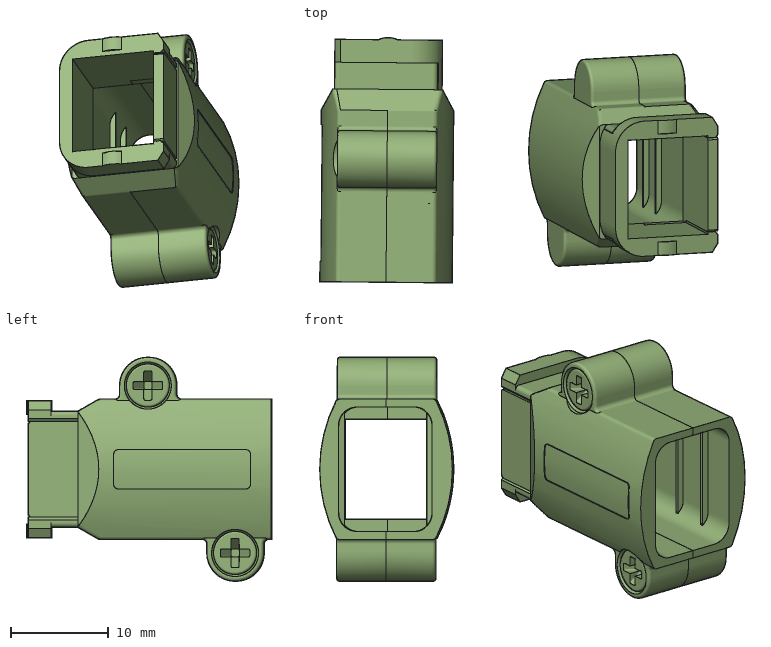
import cadquery as cq
import math


TILT_ANGLE = -0.52

BARREL_END_Y = 17.55
BARREL_HALF_WIDTH = 6.77
BARREL_HALF_HEIGHT = 7.17
FLAT_HALF_WIDTH = 5.0
CORNER_RADIUS = 0.45

COLLAR_END_Y = 19.7
COLLAR_REAR_HALF_WIDTH = 5.6

NECK_LEFT_X = -5.44
NECK_RIGHT_X = 5.08
NECK_HALF_HEIGHT = 5.93
NECK_CORNER_RADIUS = 0.45
FLANGE_START_Y = 22.42
FLANGE_END_Y = 24.77
FLANGE_HALF_HEIGHT = 7.0
FLANGE_RIGHT_X = 5.56
FLANGE_ROUND_RADIUS = 3.05
FLANGE_CHAMFER_X = 0.6
FLANGE_CHAMFER_Z = 0.95
BEAD_HALF_WIDTH = 1.0
BEAD_HEIGHT = 0.22
BEAD_LOW_Z = 5.6

CAVITY_DEPTH = 16.6
CAVITY_CENTRE_X = -0.08
CAVITY_HALF_WIDTH = 4.77
CAVITY_HALF_HEIGHT = 6.35
CAVITY_CORNER_RADIUS = 1.9
NECK_OPENING_HALF_WIDTH = 4.28
NECK_OPENING_HALF_HEIGHT = 5.1
RIB_STARTS_Y = (3.5, 7.6)
RIB_TIP_THICKNESS = 0.32
RIB_RAMP_LENGTH = 0.17
RIB_HEIGHT = 0.57

LABEL_START_Y = 2.08
LABEL_END_Y = 16.03
LABEL_HALF_HEIGHT = 2.0
LABEL_CORNER_RADIUS = 0.45
LABEL_DEPTH = 0.1

TONGUE_HALF_HEIGHT = 4.87
TONGUE_CORNER_CHAMFER = 0.2
SLOT_BEVEL = 0.3
SEAM_FRONT_X = -4.8
SEAM_REAR_X = -5.2

LUG_RADIUS = 2.9
LUG_HALF_LENGTH = 5.07
LUG_AXIS_HEIGHT = 8.54
LUG_ROOT_RADIUS = 0.45
LUG_EDGE_RADIUS = 0.3
LUG_SINK = 0.4
TOP_LUG_Y = 12.56
BOTTOM_LUG_Y = 3.66
LUG_PLACES = ((TOP_LUG_Y, 1), (BOTTOM_LUG_Y, -1))

BORE_MOUTH_DIAMETER = 4.8
HEAD_DIAMETER = 4.4
HEAD_FACE_X = -4.95
BORE_CONE_END_X = -4.75
HEAD_SEAT_X = -3.8
HEAD_EDGE_RADIUS = 0.22
SHANK_DIAMETER = 2.05
SHANK_END_X = 3.0
CROSS_HALF_SPAN = 1.5
CROSS_WIDTH = 0.84
CROSS_CORNER_RADIUS = 0.16
CROSS_DEPTH = 1.6

CUT_MARGIN = 1.0


def box_between(x_range, y_range, z_range):
    """Box given by its low and high limits along X, Y and Z."""
    sizes = [high - low for low, high in (x_range, y_range, z_range)]
    lows = (x_range[0], y_range[0], z_range[0])
    return cq.Workplane("XY").box(*sizes, centered=False).translate(lows)


def along_y(start_y):
    """Workplane at a given y with local axes X and Z; extrude by a negative length toward +Y."""
    return cq.Workplane("XZ", origin=(0, start_y, 0))


def tapered_outline(barrel_half, collar_half):
    """Outline that is straight along the barrel and narrows along the collar."""
    return [
        (-barrel_half, -CUT_MARGIN),
        (barrel_half, -CUT_MARGIN),
        (barrel_half, BARREL_END_Y),
        (collar_half, COLLAR_END_Y),
        (-collar_half, COLLAR_END_Y),
        (-barrel_half, BARREL_END_Y),
    ]


def barrel_and_collar():
    """Solid barrel with bulging sides, tapering to the neck on all four sides."""
    body = (
        along_y(0)
        .moveTo(-FLAT_HALF_WIDTH, BARREL_HALF_HEIGHT)
        .lineTo(FLAT_HALF_WIDTH, BARREL_HALF_HEIGHT)
        .threePointArc((BARREL_HALF_WIDTH, 0), (FLAT_HALF_WIDTH, -BARREL_HALF_HEIGHT))
        .lineTo(-FLAT_HALF_WIDTH, -BARREL_HALF_HEIGHT)
        .threePointArc((-BARREL_HALF_WIDTH, 0), (-FLAT_HALF_WIDTH, BARREL_HALF_HEIGHT))
        .close()
        .extrude(-COLLAR_END_Y)
    )
    width_limit = (
        cq.Workplane("XY", origin=(0, 0, -BARREL_HALF_HEIGHT - CUT_MARGIN))
        .polyline(tapered_outline(BARREL_HALF_WIDTH, COLLAR_REAR_HALF_WIDTH))
        .close()
        .extrude(2 * (BARREL_HALF_HEIGHT + CUT_MARGIN))
    )
    height_limit = (
        cq.Workplane("XY", origin=(0, 0, -BARREL_HALF_WIDTH - CUT_MARGIN))
        .polyline(tapered_outline(BARREL_HALF_HEIGHT, NECK_HALF_HEIGHT))
        .close()
        .extrude(2 * (BARREL_HALF_WIDTH + CUT_MARGIN))
        .rotate((0, 0, 0), (0, 1, 0), 90)
    )
    body = body.intersect(width_limit).intersect(height_limit)
    corner_edges = [
        edge
        for edge in body.edges().vals()
        if abs(edge.Center().z) > NECK_HALF_HEIGHT
        and CUT_MARGIN < edge.Center().y < COLLAR_END_Y - CUT_MARGIN / 2
    ]
    return body.newObject(corner_edges).fillet(CORNER_RADIUS)


def neck_and_flange():
    """Connector neck with a larger flange; chamfered on the -X side, rounded on the +X side."""
    round_centre_x = FLANGE_RIGHT_X - FLANGE_ROUND_RADIUS
    round_centre_z = FLANGE_HALF_HEIGHT - FLANGE_ROUND_RADIUS
    round_middle_x = round_centre_x + FLANGE_ROUND_RADIUS * math.sqrt(0.5)
    round_middle_z = round_centre_z + FLANGE_ROUND_RADIUS * math.sqrt(0.5)
    chamfer_z = FLANGE_HALF_HEIGHT - FLANGE_CHAMFER_Z
    profile = (
        along_y(COLLAR_END_Y)
        .moveTo(NECK_LEFT_X, -chamfer_z)
        .lineTo(NECK_LEFT_X, chamfer_z)
        .lineTo(NECK_LEFT_X + FLANGE_CHAMFER_X, FLANGE_HALF_HEIGHT)
        .lineTo(round_centre_x, FLANGE_HALF_HEIGHT)
        .threePointArc((round_middle_x, round_middle_z), (FLANGE_RIGHT_X, round_centre_z))
        .lineTo(FLANGE_RIGHT_X, -round_centre_z)
        .threePointArc((round_middle_x, -round_middle_z), (round_centre_x, -FLANGE_HALF_HEIGHT))
        .lineTo(NECK_LEFT_X + FLANGE_CHAMFER_X, -FLANGE_HALF_HEIGHT)
        .close()
    )
    flanged_block = profile.extrude(COLLAR_END_Y - FLANGE_END_Y)
    right_end_height = NECK_HALF_HEIGHT - NECK_CORNER_RADIUS
    neck_limit = box_between(
        (NECK_LEFT_X, NECK_RIGHT_X),
        (COLLAR_END_Y, FLANGE_START_Y),
        (-NECK_HALF_HEIGHT, NECK_HALF_HEIGHT),
    )
    neck_core = neck_limit.edges("|Y").fillet(NECK_CORNER_RADIUS)
    neck_right_end = flanged_block.intersect(
        box_between(
            (0, FLANGE_RIGHT_X),
            (COLLAR_END_Y, FLANGE_START_Y),
            (-right_end_height, right_end_height),
        )
    )
    flange = flanged_block.intersect(
        box_between(
            (NECK_LEFT_X, FLANGE_RIGHT_X),
            (FLANGE_START_Y, FLANGE_END_Y),
            (-FLANGE_HALF_HEIGHT, FLANGE_HALF_HEIGHT),
        )
    )
    block = neck_core.union(neck_right_end).union(flange)
    for low_z in (BEAD_LOW_Z, -FLANGE_HALF_HEIGHT):
        block = block.union(rear_bead(low_z))
    return block


def rear_bead(low_z):
    """Low rounded bead on the rear face of the flange, running along Z."""
    return (
        cq.Workplane("XY", origin=(0, 0, low_z))
        .moveTo(-BEAD_HALF_WIDTH, FLANGE_END_Y)
        .threePointArc((0, FLANGE_END_Y + BEAD_HEIGHT), (BEAD_HALF_WIDTH, FLANGE_END_Y))
        .close()
        .extrude(FLANGE_HALF_HEIGHT - BEAD_LOW_Z)
    )


def screw_lug(centre_y, side):
    """Rounded lug across the barrel; side is 1 for the top and -1 for the underside."""
    flat_z = BARREL_HALF_HEIGHT
    sink_z = flat_z - LUG_SINK
    root_half = LUG_RADIUS + LUG_ROOT_RADIUS
    root_top_z = flat_z + LUG_ROOT_RADIUS
    bend = LUG_ROOT_RADIUS * (1 - math.sqrt(0.5))
    lug = (
        cq.Workplane("YZ", origin=(-LUG_HALF_LENGTH, 0, 0))
        .moveTo(-root_half, sink_z)
        .lineTo(-root_half, flat_z)
        .threePointArc((-LUG_RADIUS - bend, flat_z + bend), (-LUG_RADIUS, root_top_z))
        .lineTo(-LUG_RADIUS, LUG_AXIS_HEIGHT)
        .threePointArc((0, LUG_AXIS_HEIGHT + LUG_RADIUS), (LUG_RADIUS, LUG_AXIS_HEIGHT))
        .lineTo(LUG_RADIUS, root_top_z)
        .threePointArc((LUG_RADIUS + bend, flat_z + bend), (root_half, flat_z))
        .lineTo(root_half, sink_z)
        .close()
        .extrude(2 * LUG_HALF_LENGTH)
    )
    rim_edges = [
        edge for edge in lug.faces("<X or >X").edges().vals() if edge.Center().z > root_top_z
    ]
    lug = lug.newObject(rim_edges).fillet(LUG_EDGE_RADIUS)
    if side < 0:
        lug = lug.mirror("XY")
    return lug.translate((0, centre_y, 0))


def grip_rib(start_y):
    """Upright rib on the +X wall of the cavity, with a steep ramp toward the cable entry."""
    tip_x = CAVITY_HALF_WIDTH - RIB_HEIGHT
    rear_y = start_y + RIB_RAMP_LENGTH + RIB_TIP_THICKNESS
    return (
        cq.Workplane("XY", origin=(0, 0, -CAVITY_HALF_HEIGHT))
        .moveTo(CAVITY_HALF_WIDTH, start_y)
        .lineTo(tip_x, start_y + RIB_RAMP_LENGTH)
        .lineTo(tip_x, rear_y)
        .lineTo(CAVITY_HALF_WIDTH, rear_y)
        .close()
        .extrude(2 * CAVITY_HALF_HEIGHT)
    )


def cavity():
    """Space for the cable, with grip ribs left standing on both side walls, and the neck passage."""
    hollow = (
        along_y(0)
        .rect(2 * CAVITY_HALF_WIDTH, 2 * CAVITY_HALF_HEIGHT)
        .extrude(-CAVITY_DEPTH)
        .edges("|Y")
        .fillet(CAVITY_CORNER_RADIUS)
    )
    for start_y in RIB_STARTS_Y:
        rib = grip_rib(start_y)
        hollow = hollow.cut(rib).cut(rib.mirror("YZ"))
    neck_passage = box_between(
        (-NECK_OPENING_HALF_WIDTH, NECK_OPENING_HALF_WIDTH),
        (CAVITY_DEPTH - CUT_MARGIN, FLANGE_END_Y + CUT_MARGIN),
        (-NECK_OPENING_HALF_HEIGHT, NECK_OPENING_HALF_HEIGHT),
    )
    return hollow.union(neck_passage).translate((CAVITY_CENTRE_X, 0, 0))


def label_recess():
    """Shallow rounded rectangle that follows the bulging -X side."""
    bulge_rise = BARREL_HALF_WIDTH - FLAT_HALF_WIDTH
    bulge_radius = (BARREL_HALF_HEIGHT**2 + bulge_rise**2) / (2 * bulge_rise)
    floor_cylinder = (
        along_y(0)
        .center(bulge_radius - BARREL_HALF_WIDTH, 0)
        .circle(bulge_radius - LABEL_DEPTH)
        .extrude(-BARREL_END_Y)
    )
    window = (
        box_between(
            (-BARREL_HALF_WIDTH - CUT_MARGIN, -FLAT_HALF_WIDTH),
            (LABEL_START_Y, LABEL_END_Y),
            (-LABEL_HALF_HEIGHT, LABEL_HALF_HEIGHT),
        )
        .edges("|X")
        .fillet(LABEL_CORNER_RADIUS)
    )
    return window.cut(floor_cylinder)


def rod_along_x(diameter, start_x, end_x):
    """Round rod on the X axis."""
    return cq.Workplane("YZ", origin=(start_x, 0, 0)).circle(diameter / 2).extrude(end_x - start_x)


def at_lug(shape, centre_y, side):
    """Shape made on the X axis, moved to the axis of a lug."""
    return shape.translate((0, centre_y, side * LUG_AXIS_HEIGHT))


def screw_hole():
    """Bore for the head, with a conical mouth, and hole for the shank of one screw."""
    mouth = rod_along_x(BORE_MOUTH_DIAMETER, -BARREL_HALF_WIDTH, -LUG_HALF_LENGTH)
    cone = (
        cq.Workplane("YZ", origin=(-LUG_HALF_LENGTH, 0, 0))
        .circle(BORE_MOUTH_DIAMETER / 2)
        .workplane(offset=LUG_HALF_LENGTH + BORE_CONE_END_X)
        .circle(HEAD_DIAMETER / 2)
        .loft()
    )
    head_bore = rod_along_x(HEAD_DIAMETER, BORE_CONE_END_X, HEAD_SEAT_X)
    shank_hole = rod_along_x(SHANK_DIAMETER, HEAD_SEAT_X, SHANK_END_X)
    return mouth.union(cone).union(head_bore).union(shank_hole)


def screw():
    """Screw along +X with a cross recess whose arms slope down to a square floor."""
    head = rod_along_x(HEAD_DIAMETER, HEAD_FACE_X, HEAD_SEAT_X)
    head = head.faces("<X").edges().fillet(HEAD_EDGE_RADIUS)
    arm = (
        cq.Workplane("XY", origin=(HEAD_FACE_X, 0, -CROSS_WIDTH / 2))
        .moveTo(0, -CROSS_HALF_SPAN)
        .lineTo(CROSS_DEPTH, -CROSS_WIDTH / 2)
        .lineTo(CROSS_DEPTH, CROSS_WIDTH / 2)
        .lineTo(0, CROSS_HALF_SPAN)
        .close()
        .extrude(CROSS_WIDTH)
    )
    sloped_edges = [
        edge
        for edge in arm.faces("<Z or >Z").edges().vals()
        if abs(edge.Center().y) > CROSS_WIDTH / 2
    ]
    arm = arm.newObject(sloped_edges).fillet(CROSS_CORNER_RADIUS)
    crossing_arm = arm.rotate((0, 0, 0), (1, 0, 0), 90)
    shank = rod_along_x(SHANK_DIAMETER, HEAD_SEAT_X, SHANK_END_X)
    return head.union(shank).cut(arm).cut(crossing_arm)


def whole_housing():
    """Both half shells as one piece, before they are separated."""
    housing = barrel_and_collar().union(neck_and_flange())
    for centre_y, side in LUG_PLACES:
        housing = housing.union(screw_lug(centre_y, side))
    housing = housing.cut(cavity()).cut(label_recess())
    for centre_y, side in LUG_PLACES:
        housing = housing.cut(at_lug(screw_hole(), centre_y, side))
    return housing


def tongue_space():
    """Slot in the -X wall of the neck, filled by the tongue of the left shell."""
    return box_between(
        (NECK_LEFT_X, CAVITY_CENTRE_X - NECK_OPENING_HALF_WIDTH),
        (BARREL_END_Y, FLANGE_END_Y),
        (-TONGUE_HALF_HEIGHT, TONGUE_HALF_HEIGHT),
    )


def left_shell_space():
    """Space that belongs to the left shell: its half of the barrel, the collar side and the tongue."""
    outer_x = -BARREL_HALF_WIDTH - CUT_MARGIN
    outer_z = LUG_AXIS_HEIGHT + LUG_RADIUS + CUT_MARGIN
    barrel_part = (
        cq.Workplane("XY", origin=(0, 0, -outer_z))
        .moveTo(0, -CUT_MARGIN)
        .lineTo(outer_x, -CUT_MARGIN)
        .lineTo(outer_x, COLLAR_END_Y)
        .lineTo(SEAM_REAR_X, COLLAR_END_Y)
        .lineTo(SEAM_FRONT_X, BARREL_END_Y)
        .lineTo(0, BARREL_END_Y)
        .close()
        .extrude(2 * outer_z)
    )
    return barrel_part.union(tongue_space())


def slot_bevels():
    """Bevels along the outer edges of the tongue slot, leaving a groove on each side of the tongue."""
    upper = (
        along_y(COLLAR_END_Y)
        .moveTo(NECK_LEFT_X, TONGUE_HALF_HEIGHT)
        .lineTo(NECK_LEFT_X, TONGUE_HALF_HEIGHT + SLOT_BEVEL)
        .lineTo(NECK_LEFT_X + SLOT_BEVEL, TONGUE_HALF_HEIGHT)
        .close()
        .extrude(COLLAR_END_Y - FLANGE_END_Y)
    )
    return upper.union(upper.mirror("XY"))


def left_shell(housing, space):
    """Shell on the -X side with its tongue corners chamfered."""
    shell = housing.intersect(space)
    tongue_corners = shell.faces(">Y").edges("|X")
    return tongue_corners.chamfer(TONGUE_CORNER_CHAMFER)


def right_shell(housing, space):
    """Shell on the +X side, which carries the collar, the neck and the flange."""
    return housing.cut(space).cut(slot_bevels())


def tilted(body):
    """Body turned into its final direction."""
    return body.rotate((0, 0, 0), (0, 0, 1), TILT_ANGLE)


full_housing = whole_housing()
left_space = left_shell_space()
left_half = tilted(left_shell(full_housing, left_space))
right_half = tilted(right_shell(full_housing, left_space))
screws = [tilted(at_lug(screw(), centre_y, side)) for centre_y, side in LUG_PLACES]

result = cq.Compound.makeCompound(
    [left_half.val(), right_half.val(), *[fastener.val() for fastener in screws]]
)